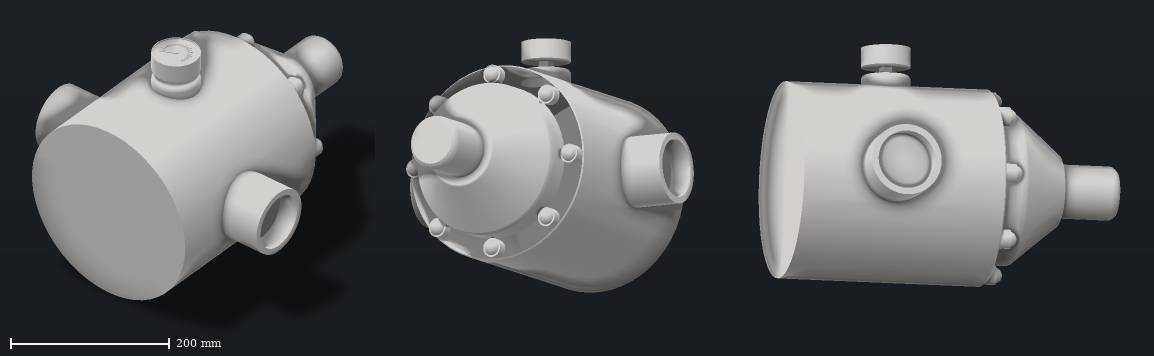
import cadquery as cq
import math

body_radius = 124.7
body_length = 263.0
body_chamfer = 1.7

total_length = 433.0
collar_radius = 97.5
collar_length = 33.0
collar_chamfer = 2.5
collar_round = 12.0
cone_length = 62.5
cone_tip_radius = 45.0
cone_tip_round = 3.5
stub_radius = 34.2
stub_chamfer = 5.5
stub_round = 9.5

nut_count = 8
nut_circle_radius = 111.5
nut_radius = 12.0
nut_height = 14.5
washer_radius = 11.5
washer_height = 2.5
dome_base_radius = 10.0
dome_height = 8.5

port_span = 360.0
port_y = 120.0
port_radius = 45.0
port_bore_radius = 37.0
port_bore_depth = 28.0

gauge_y = 135.0
total_height = 299.0
gauge_top = total_height - body_radius
gauge_diameter = 63.0
gauge_radius = gauge_diameter / 2
gauge_height = 24.5
rim_width = 1.0
dial_depth = 1.7
boss_top = 138.5
boss_chamfer = 3.0
boss_round = 5.0
neck_square = 13.5
neck_square_height = 6.5
neck_radius = 6.5

mark_height = 1.0
mark_width = 0.5
scale_radius = 17.8
scale_start = -30.0
scale_sweep = 240.0
tick_count = 21
tick_inner_radius = 15.0
minor_tick_radius = 20.0
major_tick_radius = 21.5
hub_radius = 1.7
hub_height = 1.5
pointer_angle = 210.0
pointer_tail = 4.0
pointer_tail_width = 3.0

overlap = 4.5

pick_margin = 0.5


def make_body():
    """Body cylinder with a chamfered back edge."""
    body = cq.Workplane("XZ").circle(body_radius).extrude(-body_length)
    return body.faces(">Y").edges().chamfer(body_chamfer)


def round_largest_circle(part, y, fillet):
    """Fillet the largest circular edge centred on the Y axis at the given y."""
    near_centre = cq.selectors.BoxSelector(
        (-pick_margin, y - pick_margin, -pick_margin),
        (pick_margin, y + pick_margin, pick_margin),
    )
    return part.edges(near_centre).edges(cq.selectors.RadiusNthSelector(-1)).fillet(fillet)


def make_cover():
    """Collar, cone and stub revolved about the Y axis, with softened corners."""
    cone_start = body_length + collar_length
    cone_end = cone_start + cone_length
    chamfer_start = cone_start - collar_chamfer
    cone_angle = math.atan2(collar_radius - cone_tip_radius, cone_length)
    chamfer_end_radius = collar_radius - collar_chamfer * math.sin(cone_angle)
    chamfer_end = cone_start + collar_chamfer * math.cos(cone_angle)
    stub_shoulder = total_length - stub_chamfer

    cover = (
        cq.Workplane("XY")
        .moveTo(0, body_length - overlap)
        .lineTo(collar_radius, body_length - overlap)
        .lineTo(collar_radius, chamfer_start)
        .lineTo(chamfer_end_radius, chamfer_end)
        .lineTo(cone_tip_radius, cone_end)
        .lineTo(stub_radius, cone_end)
        .lineTo(stub_radius, stub_shoulder)
        .lineTo(stub_radius - stub_chamfer, total_length)
        .lineTo(0, total_length)
        .close()
        .revolve(360, (0, 0, 0), (0, 1, 0))
    )
    cover = round_largest_circle(cover, chamfer_start, collar_round)
    cover = round_largest_circle(cover, cone_end, cone_tip_round)
    return round_largest_circle(cover, stub_shoulder, stub_round)


def make_nut(angle):
    """Domed cap nut with its washer, standing on the back face of the body."""
    washer_top = body_length + washer_height
    nut_top = body_length + nut_height
    dome_radius = (dome_base_radius**2 + dome_height**2) / (2 * dome_height)
    dome_centre = nut_top + dome_height - dome_radius
    diagonal = dome_radius * math.sqrt(0.5)
    profile = (
        cq.Workplane("XY")
        .moveTo(0, body_length - overlap)
        .lineTo(washer_radius, body_length - overlap)
        .lineTo(washer_radius, washer_top)
        .lineTo(nut_radius, washer_top)
        .lineTo(nut_radius, nut_top)
        .lineTo(dome_base_radius, nut_top)
        .threePointArc((diagonal, dome_centre + diagonal), (0, nut_top + dome_height))
        .close()
    )
    nut = profile.revolve(360, (0, 0, 0), (0, 1, 0)).translate((0, 0, nut_circle_radius))
    return nut.rotate((0, 0, 0), (0, 1, 0), angle)


def make_ports():
    """Cylinder along X through the body, sticking out of both sides."""
    return cq.Workplane("YZ").center(port_y, 0).circle(port_radius).extrude(port_span / 2, both=True)


def make_port_bore(side):
    """Blind bore in the port on the given side (-1 or 1)."""
    start = side * (port_span / 2 - port_bore_depth)
    bore_floor = cq.Workplane("YZ", origin=(start, port_y, 0))
    return bore_floor.circle(port_bore_radius).extrude(side * (port_bore_depth + overlap))


def make_boss():
    """Mounting boss with a chamfered and softened top edge."""
    boss = cq.Workplane("XY").circle(gauge_radius).extrude(boss_top)
    boss = boss.faces(">Z").edges().chamfer(boss_chamfer)
    shoulder_centre = (0, 0, boss_top - boss_chamfer)
    return boss.edges(cq.selectors.NearestToPointSelector(shoulder_centre)).fillet(boss_round)


def make_gauge():
    """Gauge case on its neck, with a sunken dial face."""
    case_bottom = gauge_top - gauge_height
    square_bottom = case_bottom - neck_square_height
    neck = cq.Workplane("XY").circle(neck_radius).extrude(case_bottom)
    square = (
        cq.Workplane("XY", origin=(0, 0, square_bottom))
        .rect(neck_square, neck_square)
        .extrude(neck_square_height)
    )
    case = cq.Workplane("XY", origin=(0, 0, case_bottom)).circle(gauge_radius).extrude(gauge_height)
    case = case.faces(">Z").workplane().circle(gauge_radius - rim_width).cutBlind(-dial_depth)
    return neck.union(square).union(case)


def make_dial_marks():
    """Scale arc, ticks, hub and tapered pointer standing on the dial face."""
    face = cq.Workplane("XY", origin=(0, 0, gauge_top - dial_depth))
    half_gap_angle = math.radians((360 - scale_sweep) / 2)
    gap_reach = 2 * scale_radius
    gap_half = gap_reach * math.tan(half_gap_angle)
    ring = (
        face.circle(scale_radius + mark_width / 2)
        .circle(scale_radius - mark_width / 2)
        .extrude(mark_height)
    )
    gap_wedge = (
        face.polyline([(0, 0), (gap_half, -gap_reach), (-gap_half, -gap_reach)])
        .close()
        .extrude(mark_height)
    )
    marks = ring.cut(gap_wedge)

    for i in range(tick_count):
        angle = scale_start + i * scale_sweep / (tick_count - 1)
        outer = major_tick_radius if i % 2 == 0 else minor_tick_radius
        length = outer - tick_inner_radius
        tick = (
            face.center(tick_inner_radius + length / 2, 0)
            .rect(length, mark_width)
            .extrude(mark_height)
            .rotate((0, 0, 0), (0, 0, 1), angle)
        )
        marks = marks.union(tick)

    half_tail = pointer_tail_width / 2
    pointer = (
        face.polyline([(scale_radius, 0), (-pointer_tail, half_tail), (-pointer_tail, -half_tail)])
        .close()
        .extrude(mark_height)
        .rotate((0, 0, 0), (0, 0, 1), pointer_angle)
    )
    hub = face.circle(hub_radius).extrude(hub_height)
    return marks.union(pointer).union(hub)


result = make_body().union(make_cover())
for index in range(nut_count):
    result = result.union(make_nut(index * 360 / nut_count))

result = result.union(make_ports())
for side in (-1, 1):
    result = result.cut(make_port_bore(side))

for piece in (make_boss(), make_gauge(), make_dial_marks()):
    result = result.union(piece.translate((0, gauge_y, 0)))